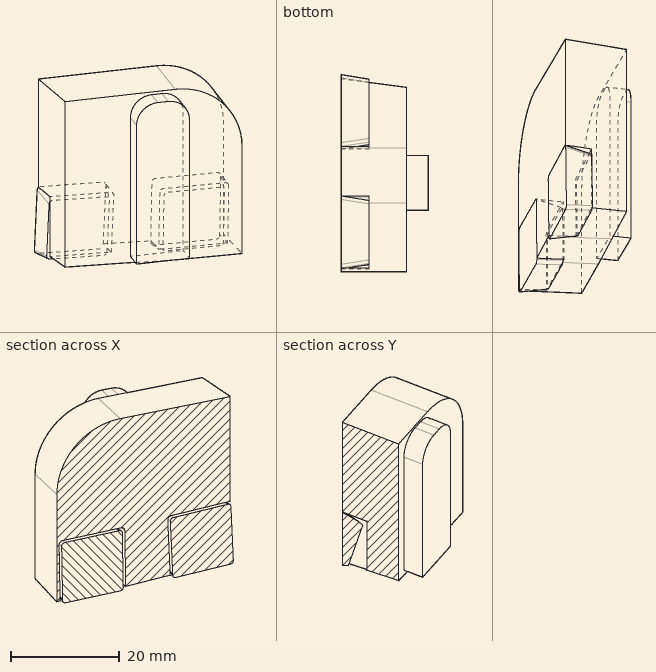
import cadquery as cq
import math


BLOCK_THICKNESS = 12.0
BLOCK_LENGTH = 35.55
CORNER_RADIUS = 12.85
FRONT_CLEARANCE_ANGLE = 7.5
BASE_CLEARANCE_ANGLE = 4.0
REAR_HEIGHT = 34.95
REAR_BREAK_FROM_REAR = 12.7
FRONT_BREAK_FROM_REAR = 22.75
MIDDLE_BASE_ANGLE = 3.0

KEY_THICKNESS = 4.0
KEY_WIDTH = 10.13
KEY_CORNER_RADIUS = 4.05
KEY_CENTRE_FROM_REAR = 16.37
KEY_TOP_DEPTH = 0.55
KEY_HEIGHT = 31.6

INSERT_SIDE = 13.2
INSERT_THICKNESS = 5.15
INSERT_CORNER_RADIUS = 0.65
INSERT_CLEARANCE_ANGLE = 9.0
REAR_TILT = 1.0
FRONT_TILT = 2.5
INSERT_PLACES = [
    (7.25, 29.08, REAR_TILT),
    (29.45, 28.28, FRONT_TILT),
]


def tangent(degrees):
    return math.tan(math.radians(degrees))


def block_outline():
    """Corners of the block at the insert face, before the top corner is rounded."""
    rear_break_height = REAR_HEIGHT - REAR_BREAK_FROM_REAR * tangent(REAR_TILT)
    middle_length = FRONT_BREAK_FROM_REAR - REAR_BREAK_FROM_REAR
    front_break_height = rear_break_height - middle_length * tangent(MIDDLE_BASE_ANGLE)
    front_length = BLOCK_LENGTH - FRONT_BREAK_FROM_REAR
    front_height = front_break_height - front_length * tangent(FRONT_TILT)
    return [
        (0, 0),
        (0, -REAR_HEIGHT),
        (-REAR_BREAK_FROM_REAR, -rear_break_height),
        (-FRONT_BREAK_FROM_REAR, -front_break_height),
        (-BLOCK_LENGTH, -front_height),
        (-BLOCK_LENGTH, 0),
    ]


def make_block():
    """Block whose front side and underside recede towards the back face."""
    rear_top, rear_base, rear_break, front_break, front_base, front_top = block_outline()
    front_setback = BLOCK_THICKNESS * tangent(FRONT_CLEARANCE_ANGLE)
    base_rise = BLOCK_THICKNESS * tangent(BASE_CLEARANCE_ANGLE)
    front_base_rise = base_rise - front_setback * tangent(FRONT_TILT)
    back_outline = [
        rear_top,
        (rear_base[0], rear_base[1] + base_rise),
        (rear_break[0], rear_break[1] + base_rise),
        (front_break[0], front_break[1] + base_rise),
        (front_base[0] + front_setback, front_base[1] + front_base_rise),
        (front_top[0] + front_setback, front_top[1]),
    ]
    return (
        cq.Workplane("YZ")
        .polyline(block_outline())
        .close()
        .workplane(offset=BLOCK_THICKNESS)
        .polyline(back_outline)
        .close()
        .loft(ruled=True)
        .faces(">Y")
        .edges(">Z")
        .fillet(CORNER_RADIUS)
    )


def make_key():
    """Upright key with two rounded top corners and a square lower end."""
    return (
        cq.Workplane("YZ", origin=(BLOCK_THICKNESS, -KEY_CENTRE_FROM_REAR, -KEY_TOP_DEPTH))
        .center(0, -KEY_HEIGHT / 2)
        .rect(KEY_WIDTH, KEY_HEIGHT)
        .extrude(KEY_THICKNESS)
        .edges("|X and >Z")
        .fillet(KEY_CORNER_RADIUS)
    )


def place_at_seat(shape, from_rear, depth, tilt):
    """Tilt a centred shape about X and move it to its seat."""
    return shape.rotate((0, 0, 0), (1, 0, 0), -tilt).translate((0, -from_rear, -depth))


def make_insert():
    """Square insert, tapering inwards from its face, with rounded corners."""
    return (
        cq.Workplane("YZ")
        .rect(INSERT_SIDE, INSERT_SIDE)
        .extrude(INSERT_THICKNESS, taper=INSERT_CLEARANCE_ANGLE)
        .edges("not #X")
        .fillet(INSERT_CORNER_RADIUS)
    )


def make_pocket():
    """Straight-walled pocket with the outline of the insert face."""
    return (
        cq.Workplane("YZ")
        .rect(INSERT_SIDE, INSERT_SIDE)
        .extrude(INSERT_THICKNESS)
        .edges("|X")
        .fillet(INSERT_CORNER_RADIUS)
    )


def make_holder():
    holder = make_block().union(make_key())
    for from_rear, depth, tilt in INSERT_PLACES:
        holder = holder.cut(place_at_seat(make_pocket(), from_rear, depth, tilt))
    return holder


holder = make_holder()
inserts = [
    place_at_seat(make_insert(), from_rear, depth, tilt).solids().val()
    for from_rear, depth, tilt in INSERT_PLACES
]

result = cq.Compound.makeCompound([holder.solids().val(), *inserts])